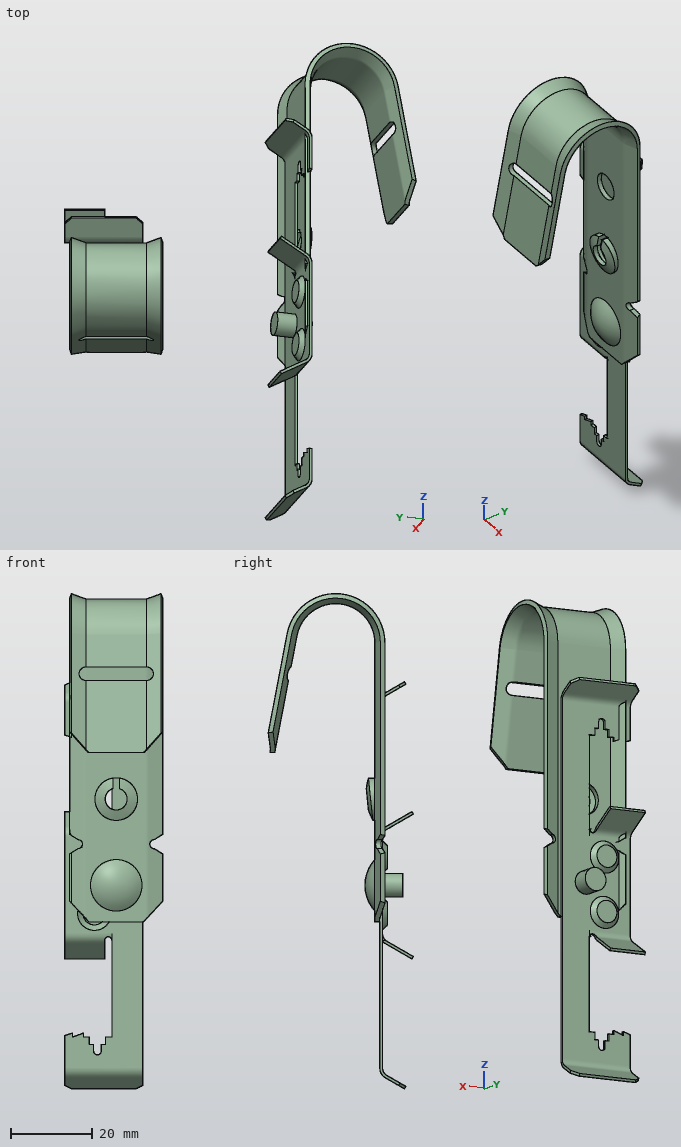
import cadquery as cq
import math


top_z = 121.6
overall_width = 24.1
clip_half_width = 11.4
clip_thickness = 1.2
fold_x = 7.4
fold_radius = 2.3
flare_angle = 20.0
hook_radius = 10.8
hook_sweep = 169.2
clip_bottom_z = 41.0
leg_end_z = 82.6
corner_half_width = 6.7
corner_length = 5.1
leg_slot_z = 101.9
leg_slot_length = 18.2
leg_slot_width = 3.3
notch_z = 60.1
notch_half_height = 2.4
notch_slope = 0.6
notch_tip_x = 8.3
notch_tip_radius = 1.1
upper_hole_z = 91.6
upper_hole_radius = 3.5
collar_z = 71.1
collar_radius = 5.2
collar_hole_radius = 2.7
collar_height = 2.2
collar_sphere_radius = 12.9
collar_sphere_rise = 1.2
collar_slot_width = 1.6

rivet_z = 50.0
rivet_radius = 2.9
rivet_tail_y = 5.7
head_radius = 6.3
head_height = 2.4

plate_thickness = 0.7
plate_right = 6.6
plate_left = clip_half_width - overall_width
stem_left = -1.1
bend_radius = 2.8
tab_tilt = 30.0
foot_reach = 6.5
middle_tab_reach = 8.3
foot_tab_corner = 1.7
middle_bend_z = 38.0
relief_left = -2.8
relief_top_z = 37.3
jaw_z = 12.8
jaw_step_z = 11.0
jaw_slot_bottom_z = 8.4
jaw_slot_x = -4.6
jaw_step_half_width = 2.0
jaw_slot_half_width = 0.91
teeth_x = [-10.7, -8.0]
tooth_height = 1.0
jaw_corner_z = 13.1
dimple_x = -5.4
dimple_drop = 6.9
dimple_radius = 4.0
dimple_height = 1.2
dimple_mouth_radius = 4.1
dimple_floor = 0.6

cut_depth = 48.6

flare = math.radians(flare_angle)
tilt = math.radians(tab_tilt)
bend_angle = math.pi / 2 - tilt


def run_along_flare(point, length):
    return (point[0] + length * math.cos(flare), point[1] + length * math.sin(flare))


outer_corner_x = fold_x + clip_thickness * math.tan(flare / 2)
outer_fold_start_x = outer_corner_x - fold_radius * math.tan(flare / 2)


def outer_fold_point(angle):
    return (
        outer_fold_start_x + fold_radius * math.sin(angle),
        fold_radius * (1 - math.cos(angle)) - clip_thickness,
    )


outer_fold_middle = outer_fold_point(flare / 2)
outer_fold_end = outer_fold_point(flare)
outer_lip = run_along_flare(outer_fold_end, (clip_half_width - outer_fold_end[0]) / math.cos(flare))
inner_lip = (
    outer_lip[0] - clip_thickness * math.sin(flare),
    outer_lip[1] + clip_thickness * math.cos(flare),
)
hook_z = top_z - hook_radius - inner_lip[1]
hook_axis = ((-1.2, -hook_radius, hook_z), (1.2, -hook_radius, hook_z))


def mirrored(point):
    return (-point[0], point[1])


def clip_section(z):
    """Cross-section of the strip: flat web with both edges flared toward +Y."""
    return (
        cq.Workplane("XY", origin=(0, 0, z))
        .moveTo(-fold_x, 0)
        .lineTo(fold_x, 0)
        .lineTo(*inner_lip)
        .lineTo(*outer_lip)
        .lineTo(*outer_fold_end)
        .threePointArc(outer_fold_middle, (outer_fold_start_x, -clip_thickness))
        .lineTo(-outer_fold_start_x, -clip_thickness)
        .threePointArc(mirrored(outer_fold_middle), mirrored(outer_fold_end))
        .lineTo(*mirrored(outer_lip))
        .lineTo(*mirrored(inner_lip))
        .close()
    )


def front_plane(z):
    """Sketch plane at height z with local X and Y along X and Z; positive extrusion runs toward -Y."""
    return cq.Workplane("XZ", origin=(0, 0, z))


def through_y(sketch, depth=cut_depth):
    return sketch.extrude(depth / 2, both=True)


def y_cylinder(radius, z, y_start, y_end):
    return cq.Workplane("XZ", origin=(0, y_end, z)).circle(radius).extrude(y_end - y_start)


def corner_cutters(end_z, inward):
    """Triangles that bevel both corners of a strip end; inward is the Z direction into the strip."""
    overshoot = 2.4
    slope = corner_length / (clip_half_width - corner_half_width)
    near_x = corner_half_width - overshoot / slope
    far_x = clip_half_width + overshoot / slope
    triangle = [
        (near_x, end_z - inward * overshoot),
        (far_x, end_z - inward * overshoot),
        (far_x, end_z + inward * (corner_length + overshoot)),
    ]
    right = through_y(front_plane(0).polyline(triangle).close())
    return right.union(right.mirror("YZ"))


def edge_notches():
    """V-shaped notches with rounded tips in both flared edges."""
    overshoot = 1.2
    mouth_x = clip_half_width + overshoot
    mouth_half_height = notch_half_height + notch_slope * overshoot
    tip_center_x = notch_tip_x + notch_tip_radius
    right = through_y(
        front_plane(notch_z)
        .moveTo(mouth_x, -mouth_half_height)
        .lineTo(mouth_x, mouth_half_height)
        .lineTo(tip_center_x, notch_tip_radius)
        .threePointArc((notch_tip_x, 0), (tip_center_x, -notch_tip_radius))
        .close()
    )
    return right.union(right.mirror("YZ"))


def collar_dome(radius, offset):
    """Sphere cap bounded by a cylinder around the collar axis; offset shrinks the sphere."""
    sphere_y = -clip_thickness - collar_height + collar_sphere_radius
    sphere_z = collar_z + collar_sphere_rise
    sphere = cq.Workplane("XY", origin=(0, sphere_y, sphere_z)).sphere(collar_sphere_radius - offset)
    return y_cylinder(radius, collar_z, -cut_depth, 0).intersect(sphere)


def make_leg():
    """Free end of the hook, built upright, turned into place, then slotted and trimmed level."""
    lean = math.pi - math.radians(hook_sweep)
    leg_start_z = hook_z + hook_radius * math.sin(lean)
    leg_length = (leg_start_z - leg_end_z) / math.cos(lean)
    bevel_end_z = hook_z + leg_length
    blank = clip_section(hook_z).extrude(leg_length + clip_thickness)
    blank = blank.cut(corner_cutters(bevel_end_z, -1))
    leg = blank.rotate(hook_axis[0], hook_axis[1], hook_sweep)

    slot = through_y(front_plane(leg_slot_z).slot2D(leg_slot_length, leg_slot_width), 2 * cut_depth)
    end_plane = cq.Workplane("XY", origin=(0, 0, leg_end_z))
    below_end = end_plane.rect(cut_depth, 2 * cut_depth).extrude(-cut_depth)
    return leg.cut(slot).cut(below_end)


def make_clip():
    shank = clip_section(clip_bottom_z).extrude(hook_z - clip_bottom_z)
    shank = shank.cut(corner_cutters(clip_bottom_z, 1)).cut(edge_notches())

    bend = clip_section(hook_z).revolve(hook_sweep, (-1.2, -hook_radius, 0), (1.2, -hook_radius, 0))
    clip = shank.union(bend).union(make_leg())

    collar_slot = (
        front_plane(collar_z)
        .center(0, collar_radius / 2)
        .rect(collar_slot_width, collar_radius)
        .extrude(clip_thickness + 2 * collar_height)
    )
    clip = clip.union(collar_dome(collar_radius, 0))
    clip = clip.cut(collar_dome(collar_radius - clip_thickness, clip_thickness))
    clip = clip.cut(collar_slot)
    clip = clip.cut(y_cylinder(collar_hole_radius, collar_z, -hook_radius, 1.2))
    clip = clip.cut(y_cylinder(upper_hole_radius, upper_hole_z, -hook_radius, 1.2))
    return clip.cut(y_cylinder(rivet_radius, rivet_z, -hook_radius, 1.2))


def make_rivet():
    """Domed head in front of the web, plain shank through web and plate."""
    seat_y = -clip_thickness
    crown_y = seat_y - head_height
    half_angle = math.atan2(head_height, head_radius)
    dome_radius = head_radius / math.sin(2 * half_angle)
    dome_middle = (
        dome_radius * math.sin(half_angle),
        crown_y + dome_radius * (1 - math.cos(half_angle)),
    )
    return (
        cq.Workplane("XY", origin=(0, 0, rivet_z))
        .moveTo(0, crown_y)
        .threePointArc(dome_middle, (head_radius, seat_y))
        .lineTo(rivet_radius, seat_y)
        .lineTo(rivet_radius, rivet_tail_y)
        .lineTo(0, rivet_tail_y)
        .close()
        .revolve(360, (0, 0, 0), (0, 1, 0))
    )


def tab_straight_length(reach):
    bend_setback = bend_radius * (1 - math.cos(bend_angle))
    return (reach - bend_setback - plate_thickness * math.sin(tilt)) / math.cos(tilt)


def tab_drop(reach):
    return bend_radius * math.sin(bend_angle) + tab_straight_length(reach) * math.sin(tilt)


def bent_tab(left, right, bend_z, reach, corner=0.0):
    """Tab that curls from the plate at bend_z toward +Y and down."""
    inner_radius = bend_radius - plate_thickness
    length = tab_straight_length(reach)

    def bend_point(radius, angle):
        return (bend_radius - radius * math.cos(angle), bend_z - radius * math.sin(angle))

    def along_tab(point):
        return (point[0] + length * math.cos(tilt), point[1] - length * math.sin(tilt))

    front_end = bend_point(bend_radius, bend_angle)
    back_end = bend_point(inner_radius, bend_angle)
    tab = (
        cq.Workplane("YZ", origin=(left, 0, 0))
        .moveTo(0, bend_z)
        .threePointArc(bend_point(bend_radius, bend_angle / 2), front_end)
        .lineTo(*along_tab(front_end))
        .lineTo(*along_tab(back_end))
        .lineTo(*back_end)
        .threePointArc(bend_point(inner_radius, bend_angle / 2), (plate_thickness, bend_z))
        .close()
        .extrude(right - left)
    )
    if corner > 0:
        tab = tab.faces(">Y").edges("not |X").chamfer(corner)
    return tab


foot_bend_z = tab_drop(foot_reach)


def half_outline():
    """Flat outline of the lower half: stem, foot with stepped and toothed jaw, middle panel."""
    outline = (
        front_plane(0)
        .moveTo(plate_right, rivet_z)
        .lineTo(plate_right, foot_bend_z)
        .lineTo(plate_left, foot_bend_z)
        .lineTo(plate_left, jaw_corner_z)
    )
    for tooth_x in teeth_x:
        outline = outline.lineTo(tooth_x, jaw_z + tooth_height).lineTo(tooth_x, jaw_z)
    return (
        outline
        .lineTo(jaw_slot_x - jaw_step_half_width, jaw_z)
        .lineTo(jaw_slot_x - jaw_step_half_width, jaw_step_z)
        .lineTo(jaw_slot_x - jaw_slot_half_width, jaw_step_z)
        .lineTo(jaw_slot_x - jaw_slot_half_width, jaw_slot_bottom_z + jaw_slot_half_width)
        .threePointArc(
            (jaw_slot_x, jaw_slot_bottom_z),
            (jaw_slot_x + jaw_slot_half_width, jaw_slot_bottom_z + jaw_slot_half_width),
        )
        .lineTo(jaw_slot_x + jaw_slot_half_width, jaw_step_z)
        .lineTo(jaw_slot_x + jaw_step_half_width, jaw_step_z)
        .lineTo(jaw_slot_x + jaw_step_half_width, jaw_z)
        .lineTo(stem_left, jaw_z)
        .lineTo(stem_left, middle_bend_z)
        .lineTo(plate_left, middle_bend_z)
        .lineTo(plate_left, rivet_z)
        .close()
    )


def relief_slot():
    """Round-ended gap between the middle tab and the stem."""
    radius = (stem_left - relief_left) / 2
    arc_z = relief_top_z - radius
    depth = middle_tab_reach + 1.2
    bottom_z = middle_bend_z - tab_drop(middle_tab_reach) - 1.2
    sketch = (
        cq.Workplane("XZ", origin=(0, depth, 0))
        .moveTo(relief_left, arc_z)
        .threePointArc((relief_left + radius, relief_top_z), (stem_left, arc_z))
        .lineTo(stem_left, bottom_z)
        .lineTo(relief_left, bottom_z)
        .close()
    )
    return sketch.extrude(depth + 1.2)


def dimple_cone(base_radius, base_y, height):
    """45-degree cone frustum that narrows toward +Y."""
    z = rivet_z - dimple_drop
    cone = cq.Solid.makeCone(
        base_radius, base_radius - height, height, cq.Vector(dimple_x, base_y, z), cq.Vector(0, 1, 0)
    )
    return cq.Workplane(obj=cone)


def make_plate_half():
    half = half_outline().extrude(-plate_thickness)
    middle_tab = bent_tab(plate_left, stem_left, middle_bend_z, middle_tab_reach)
    half = half.union(middle_tab.cut(relief_slot()))
    half = half.union(bent_tab(plate_left, plate_right, foot_bend_z, foot_reach, foot_tab_corner))
    half = half.union(dimple_cone(dimple_radius, plate_thickness, dimple_height))
    hollow_depth = plate_thickness + dimple_height - dimple_floor
    return half.cut(dimple_cone(dimple_mouth_radius, 0, hollow_depth))


def make_plate(clip):
    """Both halves joined, bored for the rivet and slit where the clip's flared edge passes through."""
    lower = make_plate_half()
    upper = lower.mirror("XY", (0, 0, rivet_z))
    plate = lower.union(upper)
    plate = plate.cut(y_cylinder(rivet_radius, rivet_z, -1.2, rivet_tail_y))
    return plate.cut(clip)


clip = make_clip()
rivet = make_rivet()
plate = make_plate(clip)

result = cq.Compound.makeCompound([clip.solids().val(), rivet.val(), plate.val()])